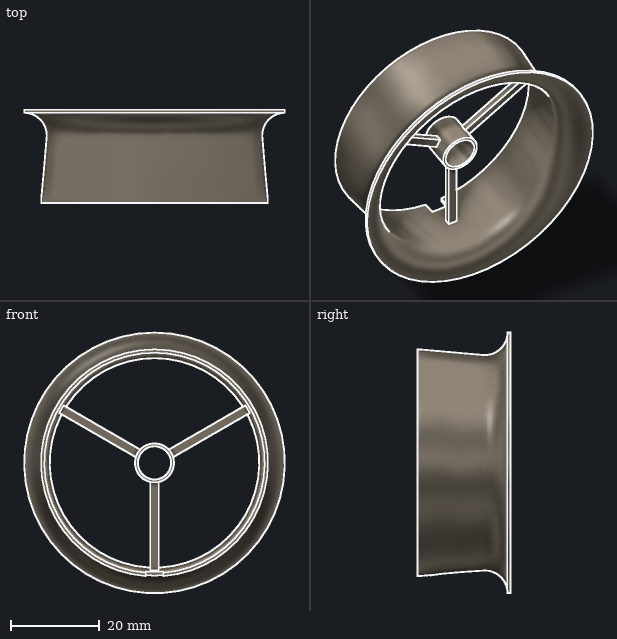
import cadquery as cq
import math

total_width = 21.0
wall = 0.75

flare_rim_radius = 29.3
flare_arc_radius = 5.05
front_rim_radius = 25.5
front_rim_inner_radius = front_rim_radius - wall
front_rim_width = wall

hub_outer_radius = 4.4
hub_wall = 0.7
hub_length = 8.0
hub_start = 4.0

spoke_count = 3
spoke_width = 2.0
spoke_depth = 1.5
spoke_middle = hub_start + hub_length / 2
spoke_overlap = wall / 2

notch_width = 4.0
notch_depth = 3.0

arc_centre_y = total_width - wall - flare_arc_radius


def tangent_angle(arc_radius, rim_y, rim_radius):
    """Angle on the arc where a straight line from the front rim point touches it."""
    along = arc_centre_y - rim_y
    across = flare_rim_radius - rim_radius
    return math.asin(arc_radius / math.hypot(along, across)) - math.atan2(across, along)


def arc_point(radius, angle):
    """Point (y, r) on the flare arc; the angle turns from the waist towards the front rim."""
    return (
        arc_centre_y - radius * math.sin(angle),
        flare_rim_radius - radius * math.cos(angle),
    )


def make_shell():
    """Revolved thin wall: front band, conical wall and quarter-round flare."""
    outer_arc = flare_arc_radius
    inner_arc = flare_arc_radius + wall
    flare_end = -math.pi / 2
    outer_start = tangent_angle(outer_arc, front_rim_width, front_rim_radius)
    inner_start = tangent_angle(inner_arc, 0, front_rim_inner_radius)
    outer_middle = (outer_start + flare_end) / 2
    inner_middle = (inner_start + flare_end) / 2
    profile = (
        cq.Workplane("YZ")
        .moveTo(0, front_rim_inner_radius)
        .lineTo(0, front_rim_radius)
        .lineTo(front_rim_width, front_rim_radius)
        .lineTo(*arc_point(outer_arc, outer_start))
        .threePointArc(arc_point(outer_arc, outer_middle), arc_point(outer_arc, flare_end))
        .lineTo(total_width, flare_rim_radius)
        .threePointArc(arc_point(inner_arc, inner_middle), arc_point(inner_arc, inner_start))
        .close()
    )
    return profile.revolve(360, (0, 0, 0), (1, 0, 0))


def cylinder_along_y(radius, start, length):
    """Solid cylinder on the wheel axis."""
    return cq.Workplane("XZ", origin=(0, start, 0)).circle(radius).extrude(-length)


def make_spoke():
    """Downward bar from the wheel axis into the conical wall."""
    cone_taper = math.tan(tangent_angle(flare_arc_radius + wall, 0, front_rim_inner_radius))
    wall_inner_radius = front_rim_inner_radius - spoke_middle * cone_taper
    length = wall_inner_radius + spoke_overlap
    return cq.Workplane("XY").box(spoke_width, spoke_depth, length).translate((0, spoke_middle, -length / 2))


def make_notch():
    """Block that opens the bottom of the front rim."""
    height = flare_rim_radius
    return (
        cq.Workplane("XY")
        .box(notch_width, notch_depth, height)
        .translate((0, notch_depth / 2, -height / 2))
    )


result = make_shell().cut(make_notch())
for index in range(spoke_count):
    angle = index * 360 / spoke_count
    result = result.union(make_spoke().rotate((0, 0, 0), (0, 1, 0), angle))
result = result.union(cylinder_along_y(hub_outer_radius, hub_start, hub_length))
result = result.cut(cylinder_along_y(hub_outer_radius - hub_wall, hub_start, hub_length))